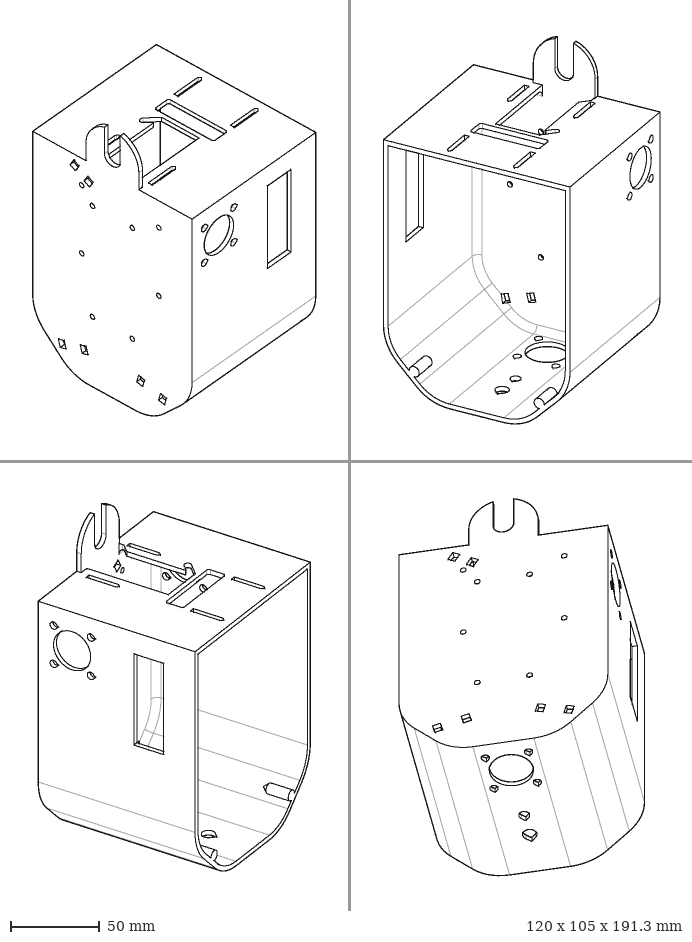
import cadquery as cq
import math

width = 120.0
depth = 105.0
height = 191.3
body_height = 160.0
wall = 3.0
edge_chamfer = 30.0
edge_radius = 30.0
front_fillet = 4.0

tab_radius = 19.9
tab_slot_radius = 6.0

port_radius = 12.5
port_y = 22.8
port_drop = 25.0
port_screw_offset = 12.5
port_screw_radius = 2.3

floor_holes = [(59.7, 3.0), (75.4, 4.0)]

screw_radius = 1.63
screw_patterns = [(6.0, 116.1, 58.0, 49.0), (0.0, 90.1, 30.0, 79.5)]

tie_length = 4.5
tie_width = 5.5
tie_pairs = [
    (-29.5, 21.0, 17.0, 15.0),
    (29.5, 21.0, 17.0, -15.0),
    (-23.1, 149.0, 12.2, -30.0),
]

post_x = 40.2
post_z = 17.8
post_radius = 3.3
post_length = 15.0
post_taper_length = 3.8

connector_y = 74.0
connector_z = 116.1
connector_width = 19.9
connector_height = 59.3

strap_slot_x = 21.2
strap_slot_width = 3.0
strap_slot_length = 21.5
strap_slot_starts = [8.2, 78.0]
window_length = 44.4
window_width = 11.9
window_y = 66.8
window_radius = 1.5
bay_width = 28.1
hook_radius = 2.1
rear_hook_x = -19.9
rear_hook_y = 48.8
rear_hook_lip_y = 50.9
front_hook_x = -17.2
front_hook_y = 5.5

sqrt_half = math.sqrt(0.5)
bay_edge_x = -bay_width / 2
hook_side = hook_radius * sqrt_half
front_root = wall + front_fillet


def body_prism(inset, y_start):
    """Prism with rounded lower chamfers, shrunk by inset, from y_start to the back."""
    half = width / 2 - inset
    chamfer = edge_chamfer - inset * (2 - math.sqrt(2))
    return (
        cq.Workplane("XZ", origin=(0, y_start, 0))
        .moveTo(-half, body_height - inset)
        .lineTo(half, body_height - inset)
        .lineTo(half, inset + chamfer)
        .lineTo(half - chamfer, inset)
        .lineTo(chamfer - half, inset)
        .lineTo(-half, inset + chamfer)
        .close()
        .extrude(y_start - depth)
        .edges("|Y and (not >Z)")
        .fillet(edge_radius - inset)
    )


def shell():
    """Box closed at the front and open at the back, rounded inside around the front plate."""
    cavity = body_prism(wall, wall).faces("<Y").edges().fillet(front_fillet)
    return body_prism(0, 0).cut(cavity)


def tab():
    """Round-topped hanging tab, split by a slot that is open at the top."""
    slot_edge_rise = math.sqrt(tab_radius**2 - tab_slot_radius**2)
    center_z = height - slot_edge_rise
    foot_z = body_height - wall
    return (
        cq.Workplane("XZ")
        .moveTo(-tab_radius, foot_z)
        .lineTo(tab_radius, foot_z)
        .lineTo(tab_radius, center_z)
        .radiusArc((tab_slot_radius, height), -tab_radius)
        .lineTo(tab_slot_radius, center_z)
        .threePointArc((0, center_z - tab_slot_radius), (-tab_slot_radius, center_z))
        .lineTo(-tab_slot_radius, height)
        .radiusArc((-tab_radius, center_z), -tab_radius)
        .close()
        .extrude(-wall)
    )


def teardrop(radius, length):
    """Upright bar, centred on the origin, round with a 45 degree point towards +Y."""
    side = radius * sqrt_half
    return (
        cq.Workplane("XY")
        .moveTo(side, side)
        .lineTo(0, 2 * side)
        .lineTo(-side, side)
        .threePointArc((0, -radius), (side, side))
        .close()
        .extrude(length / 2, both=True)
    )


def port_cutter(length):
    """Round opening with a teardrop screw hole at each corner, along Z."""
    cutter = cq.Workplane("XY").circle(port_radius).extrude(length / 2, both=True)
    for x in (-port_screw_offset, port_screw_offset):
        for y in (-port_screw_offset, port_screw_offset):
            cutter = cutter.union(teardrop(port_screw_radius, length).translate((x, y, 0)))
    return cutter


def tie_holes(x, z, spacing, tilt):
    """Two rectangular holes side by side through the front plate, turned by tilt about Y."""
    return (
        cq.Workplane("XZ")
        .rarray(spacing, 2, 2, 1)
        .rect(tie_length, tie_width)
        .extrude(-front_root)
        .rotate((0, 0, 0), (0, 1, 0), -tilt)
        .translate((x, 0, z))
    )


def post(x):
    """Round post along Y, flush with the open back and pointed at the front."""
    return (
        cq.Workplane("XY", origin=(x, 0, post_z))
        .moveTo(0, depth)
        .lineTo(post_radius, depth)
        .lineTo(post_radius, depth - post_length)
        .lineTo(0, depth - post_length - post_taper_length)
        .close()
        .revolve(360, (0, 0, 0), (0, 1, 0))
    )


def top_plane():
    """Workplane on the top face, with X and Y as in the part."""
    return cq.Workplane("XY", origin=(0, 0, body_height))


def strap_slot(x, y_start):
    """Narrow slot, square at the front and pointed at the back."""
    half = strap_slot_width / 2
    tip_y = y_start + strap_slot_length
    center_y = tip_y - half / sqrt_half
    side = half * sqrt_half
    return (
        top_plane()
        .moveTo(x - half, y_start)
        .lineTo(x + half, y_start)
        .lineTo(x + half, center_y)
        .radiusArc((x + side, center_y + side), -half)
        .lineTo(x, tip_y)
        .lineTo(x - side, center_y + side)
        .radiusArc((x - half, center_y), -half)
        .close()
        .extrude(-wall)
    )


def window():
    """Rounded rectangular window across the top wall."""
    return (
        top_plane()
        .center(0, window_y)
        .rect(window_length, window_width)
        .extrude(-wall)
        .edges("|Z")
        .fillet(window_radius)
    )


def bay():
    """Rectangular bay behind the tab with a hooked corner at the back and one at the front."""
    rear_y = rear_hook_y + bay_edge_x - rear_hook_x + 2 * hook_side
    front_y = front_hook_y + bay_edge_x - front_hook_x + 2 * hook_side
    lip_x = rear_hook_x + rear_hook_lip_y - rear_hook_y + 2 * hook_side
    return (
        top_plane()
        .moveTo(-bay_edge_x, wall)
        .lineTo(-bay_edge_x, rear_y)
        .lineTo(bay_edge_x, rear_y)
        .lineTo(rear_hook_x - hook_side, rear_hook_y + hook_side)
        .threePointArc(
            (rear_hook_x - hook_side, rear_hook_y - hook_side),
            (rear_hook_x + hook_side, rear_hook_y - hook_side),
        )
        .lineTo(lip_x, rear_hook_lip_y)
        .lineTo(bay_edge_x, rear_hook_lip_y)
        .lineTo(bay_edge_x, front_y)
        .lineTo(front_hook_x - hook_side, front_hook_y + hook_side)
        .radiusArc((front_hook_x - hook_radius, front_hook_y), -hook_radius)
        .lineTo(front_hook_x - hook_radius, wall)
        .close()
        .extrude(-front_root)
    )


result = shell().union(tab()).union(post(-post_x)).union(post(post_x))

side_port = port_cutter(2 * width).rotate((0, 0, 0), (0, 1, 0), 90)
result = result.cut(side_port.translate((0, port_y, body_height - port_drop)))
result = result.cut(port_cutter(2 * wall).translate((0, port_y, 0)))

connector_slot = cq.Workplane("XY").box(2 * wall, connector_width, connector_height)
result = result.cut(connector_slot.translate((width / 2, connector_y, connector_z)))

for hole_y, hole_radius in floor_holes:
    result = result.cut(teardrop(hole_radius, 2 * wall).translate((0, hole_y, 0)))

for center_x, center_z, spacing_x, spacing_z in screw_patterns:
    screw_holes = (
        cq.Workplane("XZ")
        .center(center_x, center_z)
        .rarray(spacing_x, spacing_z, 2, 2)
        .circle(screw_radius)
        .extrude(-wall)
    )
    result = result.cut(screw_holes)

for middle_x, middle_z, pair_spacing, tilt in tie_pairs:
    result = result.cut(tie_holes(middle_x, middle_z, pair_spacing, tilt))

for slot_x in (-strap_slot_x, strap_slot_x):
    for slot_y in strap_slot_starts:
        result = result.cut(strap_slot(slot_x, slot_y))

result = result.cut(window()).cut(bay())